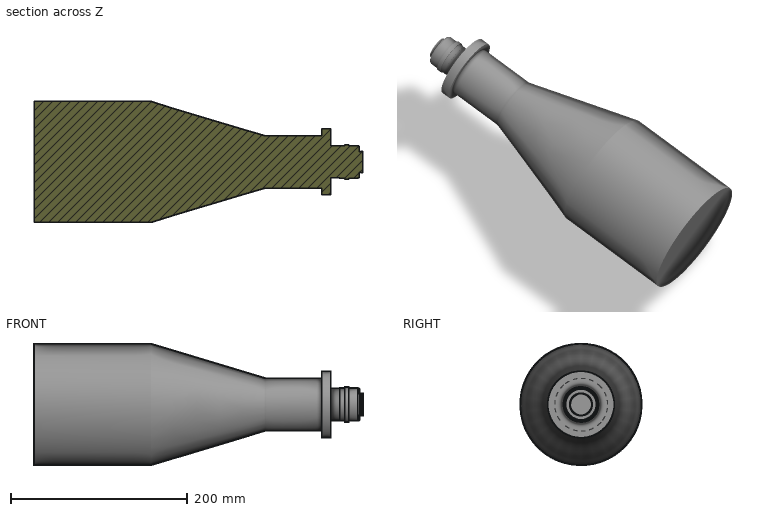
import cadquery as cq


barrel_radius = 69.0
barrel_end = 133.0

taper_end = 262.5
neck_radius = 30.0
neck_end = 326.75

flange_radius = 37.75
flange_thickness = 10.5
flange_end = neck_end + flange_thickness

total_length = 373.81
mount_length = 4.0
thread_diameter = 25.4
thread_radius = thread_diameter / 2
relief_radius = 12.0
relief_width = 1.3
lead_in_length = thread_radius - relief_radius

adapter_radius = 18.5
adapter_step = 347.0
adapter_rear_radius = 18.75
adapter_end = total_length - mount_length
adapter_chamfer_length = 2.0
adapter_chamfer_depth = 1.25
collar_radius = 20.0
collar_start = 352.75
collar_width = 4.75


def cylinder(radius, start, end):
    """Solid cylinder about the X axis between two X positions."""
    return cq.Workplane("YZ", origin=(start, 0, 0)).circle(radius).extrude(end - start)


def cone(start_radius, end_radius, start, end):
    """Solid truncated cone about the X axis between two X positions."""
    axis_start = cq.Vector(start, 0, 0)
    axis_direction = cq.Vector(1, 0, 0)
    frustum = cq.Solid.makeCone(start_radius, end_radius, end - start, axis_start, axis_direction)
    return cq.Workplane(obj=frustum)


def housing():
    """Front barrel, taper, neck and flange."""
    barrel = cylinder(barrel_radius, 0, barrel_end)
    taper = cone(barrel_radius, neck_radius, barrel_end, taper_end)
    neck = cylinder(neck_radius, taper_end, neck_end)
    flange = cylinder(flange_radius, neck_end, flange_end)
    return barrel.union(taper).union(neck).union(flange)


def mount_adapter():
    """Stepped adapter tube with a raised collar and a chamfered rear edge."""
    chamfer_start = adapter_end - adapter_chamfer_length
    chamfer_radius = adapter_rear_radius - adapter_chamfer_depth
    front_tube = cylinder(adapter_radius, flange_end, adapter_step)
    rear_tube = cylinder(adapter_rear_radius, adapter_step, chamfer_start)
    chamfer = cone(adapter_rear_radius, chamfer_radius, chamfer_start, adapter_end)
    collar = cylinder(collar_radius, collar_start, collar_start + collar_width)
    return front_tube.union(rear_tube).union(chamfer).union(collar)


def threaded_mount():
    """Relief groove and lead-in cone followed by the thread, modelled at its outer diameter."""
    relief_end = adapter_end + relief_width
    relief = cylinder(relief_radius, adapter_end, relief_end)
    lead_in_end = relief_end + lead_in_length
    lead_in = cone(relief_radius, thread_radius, relief_end, lead_in_end)
    thread = cylinder(thread_radius, lead_in_end, total_length)
    return relief.union(lead_in).union(thread)


result = housing().union(mount_adapter()).union(threaded_mount())